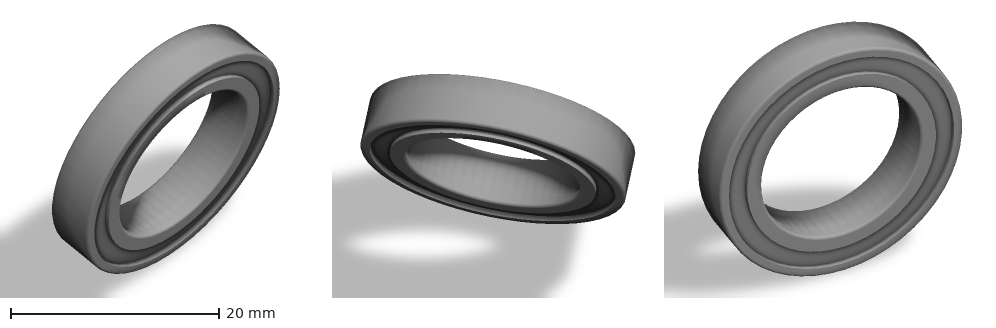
import cadquery as cq

outer_diameter = 26.0
bore_diameter = 17.0
width = 5.0
edge_radius = 0.29

recess_outer_diameter = 24.08
recess_inner_diameter = 20.18
recess_depth = 0.5


def ring(outer, inner, length, start_x):
    """Ring around the X axis, extending in +X from start_x."""
    profile = cq.Workplane("YZ", origin=(start_x, 0, 0)).circle(outer / 2).circle(inner / 2)
    return profile.extrude(length)


body = ring(outer_diameter, bore_diameter, width, -width / 2)
body = body.faces("<X or >X").edges().fillet(edge_radius)

for recess_start in (-width / 2, width / 2 - recess_depth):
    body = body.cut(ring(recess_outer_diameter, recess_inner_diameter, recess_depth, recess_start))

result = body